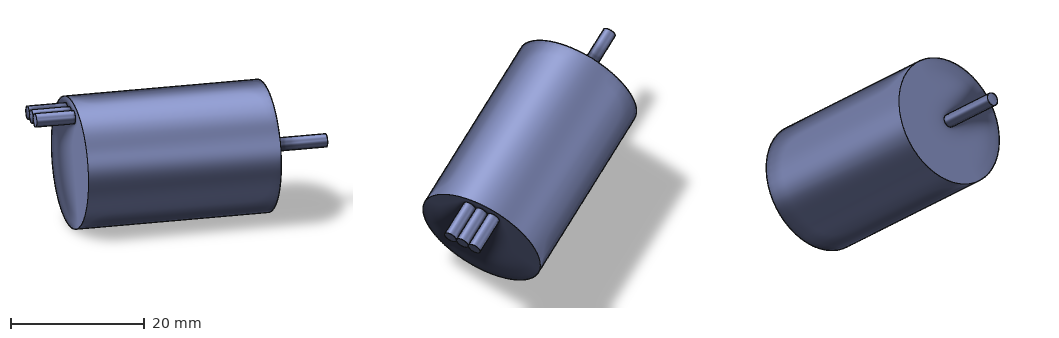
import cadquery as cq

body_diameter = 20.0
body_length = 30.0
shaft_diameter = 2.0
shaft_length = 9.8
lead_diameter = 2.0
lead_length = 6.0
lead_height = 7.75
lead_count = 3
lead_pitch = lead_diameter
root_overlap = 0.45


def rod(diameter, start_y, end_y, x=0, z=0):
    """Cylinder parallel to Y between two Y positions."""
    length = end_y - start_y
    axis = cq.Vector(0, 1, 0)
    return cq.Workplane(cq.Solid.makeCylinder(diameter / 2, length, cq.Vector(x, start_y, z), axis))


body = rod(body_diameter, 0, body_length)
shaft = rod(shaft_diameter, body_length - root_overlap, body_length + shaft_length)
result = body.union(shaft)

for index in range(lead_count):
    lead_x = (index - (lead_count - 1) / 2) * lead_pitch
    result = result.union(rod(lead_diameter, -lead_length, root_overlap, lead_x, lead_height))